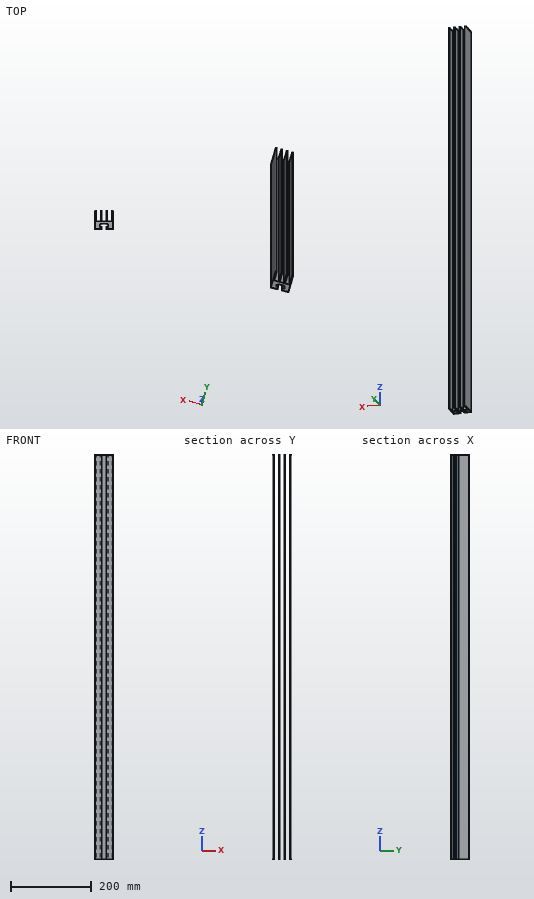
import cadquery as cq

width = 45.0
depth = 45.0
length = 1000.0

base_depth = 20.0

fin_count = 4
fin_thickness = 3.0
fin_pitch = (width - fin_thickness) / (fin_count - 1)
outer_tip_radius = 2.0

slot_opening = 10.2
slot_width = 20.5
lip_thickness = 6.0
slot_depth = 13.0
slot_chamfer = 3.0


def make_base():
    """Rectangular bar whose front face lies at Y = 0, centred on X."""
    return cq.Workplane("XY").box(width, base_depth, length, centered=(True, False, False))


def make_fin(index):
    """One full-length fin, rising from the back face of the base."""
    left = -width / 2 + index * fin_pitch
    return (
        cq.Workplane("XY")
        .box(fin_thickness, depth - base_depth, length, centered=False)
        .translate((left, base_depth, 0))
    )


def make_slot():
    """T-slot cutter: a narrow neck opening into a wider channel with chamfered inner corners."""
    half_opening = slot_opening / 2
    half_width = slot_width / 2
    half_outline = [
        (half_opening, 0),
        (half_opening, lip_thickness),
        (half_width, lip_thickness),
        (half_width, slot_depth - slot_chamfer),
        (half_width - slot_chamfer, slot_depth),
    ]
    mirrored = [(-x, y) for x, y in reversed(half_outline)]
    return cq.Workplane("XY").polyline(half_outline + mirrored).close().extrude(length)


def round_outer_tips(body):
    """Round the two back corners of the bar, at the outer edges of the outermost fins."""
    for side in ("<X", ">X"):
        body = body.faces(side).edges("|Z and >Y").fillet(outer_tip_radius)
    return body


bar = make_base()
for fin_index in range(fin_count):
    bar = bar.union(make_fin(fin_index))

bar = bar.cut(make_slot()).clean()
result = round_outer_tips(bar)